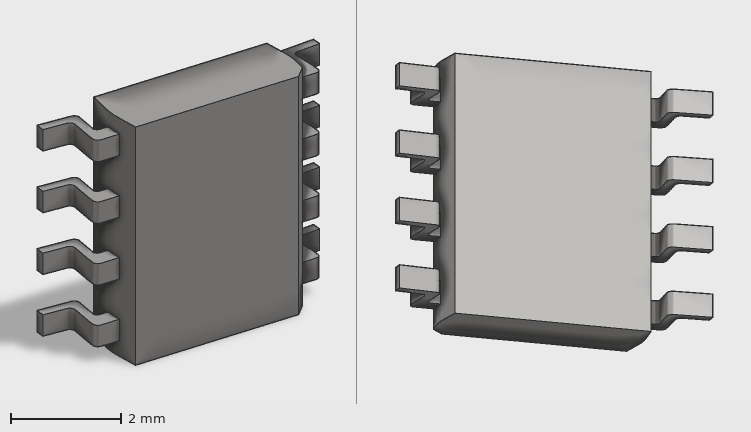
import cadquery as cq
import math

BODY_THICKNESS = 1.38
BODY_LENGTH = 4.9
BODY_WIDTH = 3.9
PARTING_BAND = 0.2
DRAFT_ANGLE = math.radians(7)
STANDOFF = 0.17
PIN_ONE_CHAMFER = 0.25

LEAD_COUNT = 4
LEAD_PITCH = 1.27
LEAD_WIDTH = 0.44
LEAD_THICKNESS = 0.205
STUB_THICKNESS = 0.345
LEAD_SPAN = 6.0
LEAD_TILT = math.radians(4)
SHOULDER_REACH = 2.44
SHOULDER_FLAT = 0.21
BEND_RADIUS = 0.11
ARMPIT_RADIUS = 0.08
BLEND_RADIUS = ARMPIT_RADIUS + LEAD_THICKNESS
STUB_EMBED = 0.5

body_bottom = STANDOFF
body_top = STANDOFF + BODY_THICKNESS
band_bottom = STANDOFF + (BODY_THICKNESS - PARTING_BAND) / 2
band_top = band_bottom + PARTING_BAND
half_width = BODY_WIDTH / 2
half_face_width = half_width - (band_bottom - body_bottom) * math.tan(DRAFT_ANGLE)


def make_body():
    """Eight-sided prism along Z with one long top edge (+X, +Y) chamfered."""
    outline = [
        (body_bottom, -half_face_width),
        (band_bottom, -half_width),
        (band_top, -half_width),
        (body_top, -half_face_width),
        (body_top, half_face_width),
        (band_top, half_width),
        (band_bottom, half_width),
        (body_bottom, half_face_width),
    ]
    block = cq.Workplane("XY").polyline(outline).close().extrude(BODY_LENGTH / 2, both=True)
    start_x = body_top - PIN_ONE_CHAMFER
    start_y = half_width - (start_x - band_top) * math.tan(DRAFT_ANGLE)
    corner = (
        cq.Workplane("XY")
        .polyline([
            (start_x, start_y),
            (body_top, start_y - PIN_ONE_CHAMFER),
            (body_top, start_y),
        ])
        .close()
        .extrude(BODY_LENGTH / 2, both=True)
    )
    return block.cut(corner)


def make_lead():
    """Lead on the +Y side, centred on Z = 0, its toe touching X = 0."""
    slope = math.tan(LEAD_TILT)
    slanted_thickness = LEAD_THICKNESS / math.cos(LEAD_TILT)
    toe_y = LEAD_SPAN / 2
    stub_bottom = band_bottom
    stub_top = stub_bottom + STUB_THICKNESS

    shoulder = (stub_top, SHOULDER_REACH)
    flat_start = (stub_top - SHOULDER_FLAT, SHOULDER_REACH)

    def arm_outer_y(x):
        return SHOULDER_REACH - slope * (flat_start[0] - x)

    def arm_inner_y(x):
        return arm_outer_y(x) - slanted_thickness

    def foot_corner(toe_x, arm_y):
        """Where the foot line through (toe_x, toe_y) meets a line along the arm, square to it."""
        x = (toe_x + slope * (toe_y - arm_y(0))) / (1 + slope**2)
        return (x, arm_y(x))

    heel = foot_corner(0, arm_inner_y)
    instep = foot_corner(slanted_thickness, arm_outer_y)
    armpit = (stub_bottom, arm_inner_y(stub_bottom))
    root_y = half_width - STUB_EMBED

    blend_tangent = BLEND_RADIUS * math.tan(LEAD_TILT / 2)
    blend_start_x = flat_start[0] - blend_tangent * math.cos(LEAD_TILT)
    blend_start = (blend_start_x, arm_outer_y(blend_start_x))
    blend_end = (flat_start[0] + blend_tangent, SHOULDER_REACH)

    lead = (
        cq.Workplane("XY")
        .moveTo(stub_top, root_y)
        .lineTo(stub_bottom, root_y)
        .lineTo(*armpit)
        .lineTo(*heel)
        .lineTo(0, toe_y)
        .lineTo(slanted_thickness, toe_y)
        .lineTo(*instep)
        .lineTo(*blend_start)
        .tangentArcPoint(blend_end, relative=False)
        .lineTo(*shoulder)
        .close()
        .extrude(LEAD_WIDTH / 2, both=True)
    )
    bends = [
        (heel, BEND_RADIUS),
        (armpit, ARMPIT_RADIUS),
        (shoulder, BEND_RADIUS),
        (instep, BEND_RADIUS),
    ]
    for (x, y), radius in bends:
        lead = lead.edges(cq.selectors.NearestToPointSelector((x, y, 0))).fillet(radius)
    return lead


result = make_body()
lead_plus_y = make_lead()
lead_minus_y = lead_plus_y.mirror("XZ")
for index in range(LEAD_COUNT):
    lead_z = (index - (LEAD_COUNT - 1) / 2) * LEAD_PITCH
    for lead in (lead_plus_y, lead_minus_y):
        result = result.union(lead.translate((0, 0, lead_z)))